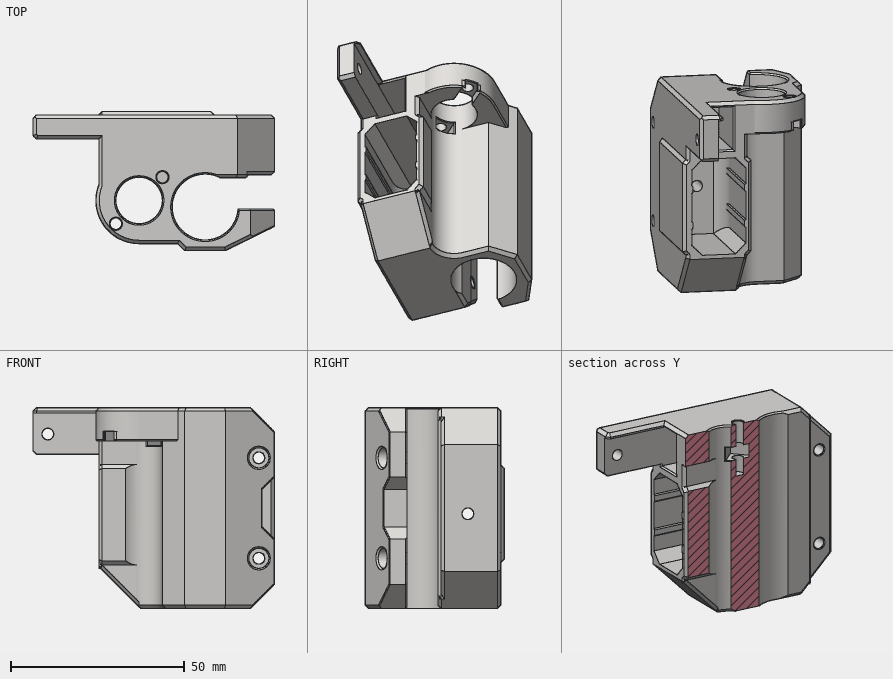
import cadquery as cq
import math

LENGTH = 69.74
DEPTH = 40.2
HEIGHT = 58.0
EDGE = 1.0
SMALL_EDGE = 0.45
FINE_EDGE = 0.25
TOLERANCE = 0.001
CUT_MARGIN = 1.0

BACK_Y = DEPTH - EDGE
BLOCK_LEFT = 19.0
FRONT_WALL_Y = 21.15
FLANGE_BOTTOM = 48.3
LEFT_CUT = 12.1
JAW_CUT = 7.0
BACK_JAW_CUT = 10.7

GUIDE_X = 30.65
GUIDE_Y = 14.5
GUIDE_RADIUS = 13.4 / 2
FLANGE_RADIUS = 12.5
SCREW_CIRCLE_RADIUS = 9.5
SCREW_DIAMETER = 3.3
SCREW_CHAMFER = 0.25
NUT_SLOT_WIDTH = 5.7
NUT_SLOT_REACH = 12.0
NUT_WINDOW_WIDTH = 3.6
NUT_BOTTOM = 47.05
NUT_TOP = 51.05
SCREW_BOTTOM = 42.0

CLAMP_X = 49.7
CLAMP_Y = 12.6
CLAMP_RADIUS = 9.5
FRONT_FLAT_LEFT = 43.8
FRONT_FLAT_RIGHT = 55.55
JAW_TIP_Y = 7.0
SLIT_FRONT_Y = 12.06
SLIT_BACK_Y = 21.0
SLIT_STEP = 0.85
SLIT_STEP_X = 61.4
CLAMP_SCREW_X = 65.2
CLAMP_SCREW_SPACING = 29.0
CLAMP_HEAD_DIAMETER = 5.8
CLAMP_HEAD_DEPTH = 3.0
NOTCH_DEPTH = 3.6
NOTCH_HEIGHT = 18.0

TAB_BOTTOM = 44.5
TAB_FRONT_Y = 32.2
TAB_HOLE_X = 4.3
TAB_HOLE_Z = 50.35
SLOT_FRONT_Y = 25.4
SLOT_BACK_Y = 33.75
SLOT_BOTTOM = 43.9
SLOT_TOP = 56.5
SLOT_END_X = 39.0

POCKET_FRONT_Y = 21.66
POCKET_BACK_Y = 37.63
POCKET_BOTTOM = 13.2
POCKET_TOP = 41.5
POCKET_CORNER = 3.1
POCKET_END_X = 49.5
POCKET_END_RADIUS = 13.0
POCKET_HOLE_DIAMETER = 3.3
RIB_HEIGHT = 0.35
RIB_WIDTH = 2.4
RIB_SPACING = 10.6
PAD_TOP = 40.4
BACK_PAD_BOTTOM = 14.3
BACK_PAD_RIGHT = 51.3
FRONT_PAD_BOTTOM = 13.75
FRONT_PAD_Y = 19.95

POCKET_Y = (POCKET_FRONT_Y + POCKET_BACK_Y) / 2
POCKET_Z = (POCKET_BOTTOM + POCKET_TOP) / 2


def box(x0, x1, y0, y1, z0, z1):
    """Box between two opposite corners."""
    return cq.Workplane("XY").box(x1 - x0, y1 - y0, z1 - z0, centered=False).translate((x0, y0, z0))


def cylinder_z(x, y, radius, z0, z1):
    """Upright cylinder."""
    return cq.Workplane("XY", origin=(x, y, z0)).circle(radius).extrude(z1 - z0)


def cylinder_y(x, z, radius, y0, y1):
    """Cylinder along Y from y0 back to y1."""
    return cq.Workplane("XZ", origin=(x, y0, z)).circle(radius).extrude(y0 - y1)


def chamfer_edges(body, wanted, size):
    """Chamfer every edge for which wanted(edge) is true."""
    return body.newObject([edge for edge in body.edges().vals() if wanted(edge)]).chamfer(size)


def near(value, *targets):
    """True when a coordinate equals one of the targets."""
    return any(abs(value - target) < TOLERANCE for target in targets)


def mouth(x, y, radius, size):
    """Cone that chamfers the top mouth of an upright bore."""
    return (
        cq.Workplane("XY", origin=(x, y, HEIGHT - size))
        .circle(radius)
        .workplane(offset=size)
        .circle(radius + size)
        .loft()
    )


def profile_prism(points, y0, y1):
    """Prism with an XZ outline, running from y0 back to y1."""
    return cq.Workplane("XZ", origin=(0, y0, 0)).polyline(points).close().extrude(y0 - y1)


def finish_right(sketch):
    """Continue an outline from the front flat round the slit to the back right corner of the block."""
    return (
        sketch.lineTo(FRONT_FLAT_LEFT, 0)
        .lineTo(FRONT_FLAT_RIGHT, 0)
        .lineTo(LENGTH, JAW_TIP_Y)
        .lineTo(LENGTH, SLIT_FRONT_Y)
        .lineTo(CLAMP_X, SLIT_FRONT_Y)
        .lineTo(CLAMP_X, SLIT_BACK_Y)
        .lineTo(SLIT_STEP_X, SLIT_BACK_Y)
        .lineTo(SLIT_STEP_X + SLIT_STEP, SLIT_BACK_Y + SLIT_STEP)
        .lineTo(LENGTH, SLIT_BACK_Y + SLIT_STEP)
        .lineTo(LENGTH, BACK_Y)
    )


def tapered_prism(points, y_base, y_tip):
    """Prism with an XZ outline at y_base whose sides close in at 45 degrees towards y_tip."""
    prism = cq.Workplane("XZ", origin=(0, y_base, 0)).polyline(points).close()
    return prism.extrude(y_base - y_tip, taper=45)


def make_bevel(outline, y_face, x0, x1):
    """Tool, from x0 to x1, that bevels the rim of a forward face at y_face with the given XZ outline."""
    y_base = y_face + EDGE
    layer = box(x0, x1, y_face, y_base, 0, HEIGHT)
    return layer.cut(tapered_prism(outline, y_base, y_face))


def make_left_bevel():
    """Bevel on the front wall of the block along its left edge and the corner cut below."""
    below = -2 * EDGE
    outline = [
        (BLOCK_LEFT, LEFT_CUT),
        (BLOCK_LEFT + LEFT_CUT - below, below),
        (LENGTH, below),
        (LENGTH, HEIGHT),
        (BLOCK_LEFT, HEIGHT),
    ]
    return make_bevel(outline, FRONT_WALL_Y, BLOCK_LEFT, GUIDE_X)


def make_back_jaw_bevel():
    """Bevel on both levels of the back jaw's stepped slit face."""
    cut_x = LENGTH - BACK_JAW_CUT
    outline = [
        (GUIDE_X, 0),
        (cut_x, 0),
        (LENGTH, BACK_JAW_CUT),
        (LENGTH, HEIGHT - BACK_JAW_CUT),
        (cut_x, HEIGHT),
        (GUIDE_X, HEIGHT),
    ]
    step_middle = SLIT_STEP_X + SLIT_STEP / 2
    near_bore = make_bevel(outline, SLIT_BACK_Y, CLAMP_X, step_middle)
    near_end = make_bevel(outline, SLIT_BACK_Y + SLIT_STEP, step_middle, LENGTH)
    return near_bore.union(near_end)


def make_pad(y_face, y_base, right, bottom):
    """Pad around the pocket with 45 degree flanks; right, bottom and PAD_TOP bound its face."""
    rise = abs(y_face - y_base)
    left = BLOCK_LEFT - rise
    right += rise
    bottom -= rise
    top = PAD_TOP + rise
    pad = tapered_prism([(left, bottom), (right, bottom), (right, top), (left, top)], y_base, y_face)
    return pad.intersect(box(BLOCK_LEFT, LENGTH, 0, DEPTH, 0, HEIGHT))


def make_lower_block():
    """Block below the flange; a concave wall carries the guide bore down its front."""
    wall_x = GUIDE_X + GUIDE_RADIUS
    meet_x = GUIDE_X - math.sqrt(GUIDE_RADIUS**2 - (FRONT_WALL_Y - GUIDE_Y) ** 2)
    diagonal = GUIDE_RADIUS * math.sqrt(0.5)
    start = (
        cq.Workplane("XY")
        .moveTo(BLOCK_LEFT, BACK_Y)
        .lineTo(BLOCK_LEFT, FRONT_WALL_Y)
        .lineTo(meet_x, FRONT_WALL_Y)
        .threePointArc((GUIDE_X + diagonal, GUIDE_Y + diagonal), (wall_x, GUIDE_Y))
        .lineTo(wall_x, FRONT_FLAT_LEFT - wall_x)
    )
    block = finish_right(start).close().extrude(FLANGE_BOTTOM)
    block = block.cut(corner_cut(BLOCK_LEFT, 0, LEFT_CUT, 0, DEPTH))
    return block.cut(make_left_bevel())


def make_flange():
    """Top flange with the round lug of the guide bore and the full-length tab strip."""
    lug_bottom = GUIDE_Y - FLANGE_RADIUS
    lug_drop = math.sqrt(FLANGE_RADIUS**2 - (GUIDE_X - BLOCK_LEFT) ** 2)
    diagonal = FLANGE_RADIUS * math.sqrt(0.5)
    start = (
        cq.Workplane("XY", origin=(0, 0, FLANGE_BOTTOM))
        .moveTo(0, BACK_Y)
        .lineTo(0, TAB_FRONT_Y)
        .lineTo(BLOCK_LEFT, TAB_FRONT_Y)
        .lineTo(BLOCK_LEFT, GUIDE_Y + lug_drop)
        .threePointArc((GUIDE_X - diagonal, GUIDE_Y - diagonal), (GUIDE_X, lug_bottom))
        .lineTo(FRONT_FLAT_LEFT - lug_bottom, lug_bottom)
    )
    return finish_right(start).close().extrude(HEIGHT - FLANGE_BOTTOM)


def corner_cut(x, z, size, y0, y1):
    """45 degree wedge at the XZ corner (x, z) of the block, signed towards its middle."""
    step_x = math.copysign(size, LENGTH / 2 - x)
    step_z = math.copysign(size, HEIGHT / 2 - z)
    return profile_prism([(x, z), (x + step_x, z), (x, z + step_z)], y0, y1)


def is_rim(edge):
    """True for the outline edges of the top and bottom faces, except on the slit and on corner cuts."""
    span = edge.BoundingBox()
    flat = near(span.zmin, span.zmax) and near(span.zmin, 0, HEIGHT)
    cut_ends = (CLAMP_X, BLOCK_LEFT + LEFT_CUT, LENGTH - JAW_CUT, LENGTH - BACK_JAW_CUT)
    across = near(span.xmin, span.xmax) and near(span.xmin, *cut_ends)
    on_slit = near(span.ymin, SLIT_FRONT_Y, SLIT_BACK_Y)
    on_back = near(span.ymin, BACK_Y - EDGE)
    return flat and not (across or on_slit or on_back)


def is_front_lip_edge(edge):
    """True for the outline edges of the front jaw's slit face."""
    span = edge.BoundingBox()
    on_lip = near(span.ymin, SLIT_FRONT_Y) and near(span.ymax, SLIT_FRONT_Y)
    return on_lip and span.xmax > CLAMP_X + TOLERANCE


def is_tab_end(edge):
    """True for the bottom edge and the front edge of the tab's end."""
    span = edge.BoundingBox()
    at_end = near(span.xmax, 0)
    bottom = near(span.zmax, TAB_BOTTOM)
    front = near(span.ymax, TAB_FRONT_Y)
    return at_end and (bottom or front)


def is_flange_underside(edge):
    """True for the lower outline of the round lug."""
    span = edge.BoundingBox()
    flat = near(span.zmin, FLANGE_BOTTOM) and near(span.zmax, FLANGE_BOTTOM)
    return flat and near(span.ymin, GUIDE_Y - FLANGE_RADIUS) and span.xmin < GUIDE_X + TOLERANCE


def make_body():
    """Block, flange and tab with their corner cuts and edge chamfers."""
    body = make_lower_block().union(make_flange())
    body = body.union(box(0, BLOCK_LEFT, TAB_FRONT_Y, BACK_Y, TAB_BOTTOM, FLANGE_BOTTOM))
    for z in (0, HEIGHT):
        body = body.cut(corner_cut(LENGTH, z, JAW_CUT, 0, SLIT_FRONT_Y))
        body = body.cut(corner_cut(LENGTH, z, BACK_JAW_CUT, SLIT_FRONT_Y, DEPTH))
    body = body.faces(">Y").chamfer(EDGE)
    body = chamfer_edges(body, is_tab_end, EDGE)
    body = chamfer_edges(body, is_rim, EDGE).cut(make_back_jaw_bevel())
    body = chamfer_edges(body, is_front_lip_edge, SMALL_EDGE)
    return chamfer_edges(body, is_flange_underside, SMALL_EDGE)


def make_left_end_bevel(y_wall, y_face, pad_bottom, top):
    """Bevel on the block's left face along a wall and the pad on it, from the corner cut up to top."""
    inward = math.copysign(1, POCKET_Y - y_face)
    rise = abs(y_wall - y_face)
    outline = [
        (y_wall, 0),
        (y_wall, pad_bottom - rise),
        (y_face, pad_bottom),
        (y_face, PAD_TOP),
        (y_wall, PAD_TOP + rise),
        (y_wall, HEIGHT),
        (y_wall + inward * DEPTH, HEIGHT),
        (y_wall + inward * DEPTH, 0),
    ]
    x_base = BLOCK_LEFT + EDGE
    kept = cq.Workplane("YZ", origin=(x_base, 0, 0)).polyline(outline).close().extrude(-EDGE, taper=45)
    y_near, y_far = sorted((y_face, POCKET_Y))
    return box(BLOCK_LEFT, x_base, y_near, y_far, LEFT_CUT, top).cut(kept)


def add_pads(body):
    """Raise the pads on the front wall and the back around the pocket."""
    front_pad = make_pad(FRONT_PAD_Y, FRONT_WALL_Y + EDGE, GUIDE_X, FRONT_PAD_BOTTOM)
    guide = cylinder_z(GUIDE_X, GUIDE_Y, GUIDE_RADIUS, 0, HEIGHT)
    right_of_guide = box(GUIDE_X, LENGTH, 0, FRONT_WALL_Y, 0, HEIGHT)
    back_pad = make_pad(DEPTH, BACK_Y - EDGE, BACK_PAD_RIGHT, BACK_PAD_BOTTOM)
    body = body.union(front_pad.cut(guide).cut(right_of_guide)).union(back_pad)
    body = body.cut(make_left_end_bevel(FRONT_WALL_Y, FRONT_PAD_Y, FRONT_PAD_BOTTOM, FLANGE_BOTTOM))
    return body.cut(make_left_end_bevel(BACK_Y, DEPTH, BACK_PAD_BOTTOM, TAB_BOTTOM))


def make_nut_slots():
    """Slot on the screw diagonal for both square nuts, with a narrow window out through the lug."""
    height = NUT_TOP - NUT_BOTTOM
    slot = cq.Workplane("XY").box(2 * NUT_SLOT_REACH, NUT_SLOT_WIDTH, height)
    window = cq.Workplane("XY").box(FLANGE_RADIUS + CUT_MARGIN, NUT_WINDOW_WIDTH, height)
    slots = slot.union(window.translate((-(FLANGE_RADIUS + CUT_MARGIN) / 2, 0, 0)))
    return slots.rotate((0, 0, 0), (0, 0, 1), 45).translate((GUIDE_X, GUIDE_Y, NUT_BOTTOM + height / 2))


def is_nut_slot_rim(edge):
    """True for the nut slot edges that lie on the guide bore or on the outside of the lug."""
    span = edge.BoundingBox()
    if span.zmin < NUT_BOTTOM - TOLERANCE or span.zmax > NUT_TOP + TOLERANCE:
        return False
    lug_bottom = FLANGE_BOTTOM + SMALL_EDGE
    if near(span.zmax, FLANGE_BOTTOM, lug_bottom):
        return False
    middle = edge.positionAt(0.5)
    end = edge.positionAt(0)
    distances = [math.hypot(point.x - GUIDE_X, point.y - GUIDE_Y) for point in (middle, end)]
    return any(all(near(d, r) for d in distances) for r in (GUIDE_RADIUS, FLANGE_RADIUS))


def cut_guide_bore(body):
    """Guide bore through the flange, with two screw holes and their nut slots on one diagonal."""
    body = body.cut(cylinder_z(GUIDE_X, GUIDE_Y, GUIDE_RADIUS, FLANGE_BOTTOM, HEIGHT))
    body = body.cut(mouth(GUIDE_X, GUIDE_Y, GUIDE_RADIUS, SMALL_EDGE))
    offset = SCREW_CIRCLE_RADIUS * math.sqrt(0.5)
    radius = SCREW_DIAMETER / 2
    for side in (-1, 1):
        x = GUIDE_X + side * offset
        y = GUIDE_Y + side * offset
        body = body.cut(cylinder_z(x, y, radius, SCREW_BOTTOM, HEIGHT))
        body = body.cut(mouth(x, y, radius, SCREW_CHAMFER))
    return chamfer_edges(body.cut(make_nut_slots()), is_nut_slot_rim, FINE_EDGE)


def cut_clamp_bore(body):
    """Clamp bore with chamfered top mouth, open into the slit on its right."""
    body = body.cut(cylinder_z(CLAMP_X, CLAMP_Y, CLAMP_RADIUS, 0, HEIGHT))
    return body.cut(mouth(CLAMP_X, CLAMP_Y, CLAMP_RADIUS, SMALL_EDGE))


def slanted_face_y(x):
    """Y of the front jaw's slanted face at a given x."""
    return JAW_TIP_Y * (x - FRONT_FLAT_RIGHT) / (LENGTH - FRONT_FLAT_RIGHT)


def cut_clamp_screws(body):
    """Two screw holes across both jaws, sunk into the front jaw."""
    radius = CLAMP_HEAD_DIAMETER / 2
    head_seat_y = slanted_face_y(CLAMP_SCREW_X) + CLAMP_HEAD_DEPTH
    for side in (-1, 1):
        z = HEIGHT / 2 + side * CLAMP_SCREW_SPACING / 2
        body = body.cut(cylinder_y(CLAMP_SCREW_X, z, SCREW_DIAMETER / 2, 0, DEPTH))
        body = body.cut(cylinder_y(CLAMP_SCREW_X, z, radius, 0, head_seat_y))
    return body


def cut_notch(body):
    """Trapezoid notch in the end of the front jaw."""
    outer = NOTCH_HEIGHT / 2
    inner = outer - NOTCH_DEPTH
    middle = HEIGHT / 2
    bottom_x = LENGTH - NOTCH_DEPTH
    outline = [
        (LENGTH, middle - outer),
        (LENGTH, middle + outer),
        (bottom_x, middle + inner),
        (bottom_x, middle - inner),
    ]
    return body.cut(profile_prism(outline, 0, SLIT_FRONT_Y))


def on_slanted_face(edge):
    """True for an edge that lies in the slanted front face of the front jaw."""
    points = [edge.positionAt(share) for share in (0, 0.3, 0.7)]
    return all(near(point.y, slanted_face_y(point.x)) for point in points)


def is_screw_head_rim(edge):
    """True for the rim of a screw head recess."""
    return edge.geomType() == "ELLIPSE" and on_slanted_face(edge)


def is_slanted_face_edge(edge):
    """True for the edges of the slanted face at its corner cuts, its end and the notch."""
    span = edge.BoundingBox()
    at_right = near(span.xmax, LENGTH, LENGTH - NOTCH_DEPTH)
    return edge.geomType() == "LINE" and at_right and on_slanted_face(edge)


def is_screw_mouth(edge):
    """True for the mouth of a clamp screw hole in the back jaw's slit face."""
    span = edge.BoundingBox()
    end_face_y = SLIT_BACK_Y + SLIT_STEP
    return edge.geomType() == "CIRCLE" and near(span.ymin, end_face_y) and near(span.ymax, end_face_y)


def chamfer_front_jaw(body):
    """Chamfer the slanted face of the front jaw and the mouths of the clamp screw holes."""
    body = chamfer_edges(body, is_screw_mouth, FINE_EDGE)
    body = chamfer_edges(body, is_screw_head_rim, SMALL_EDGE)
    return chamfer_edges(body, is_slanted_face_edge, FINE_EDGE)


def cut_tab_features(body):
    """Screw hole in the tab, and the slot that runs along the tab into the block."""
    body = body.cut(cylinder_y(TAB_HOLE_X, TAB_HOLE_Z, SCREW_DIAMETER / 2, 0, DEPTH))
    body = body.cut(box(0, SLOT_END_X, SLOT_FRONT_Y, SLOT_BACK_Y, SLOT_BOTTOM, SLOT_TOP))
    width = SLOT_BACK_Y - SLOT_FRONT_Y + 2 * SMALL_EDGE
    height = SLOT_TOP - SLOT_BOTTOM + 2 * SMALL_EDGE
    middle_y = (SLOT_FRONT_Y + SLOT_BACK_Y) / 2
    middle_z = (SLOT_BOTTOM + SLOT_TOP) / 2
    flare = cq.Workplane("YZ", origin=(BLOCK_LEFT, middle_y, middle_z)).rect(width, height)
    behind_tab = box(0, LENGTH, SLOT_BACK_Y, BACK_Y, TAB_BOTTOM, HEIGHT)
    return body.cut(flare.extrude(SMALL_EDGE, taper=45).cut(behind_tab))


def make_pocket_plan():
    """Pocket seen along Z: parallel walls that curve in to a flat end, full pocket height."""
    curve_angle = math.acos(1 - POCKET_CORNER / POCKET_END_RADIUS)
    half_angle = curve_angle / 2
    curve_start = POCKET_END_X - POCKET_END_RADIUS * math.sin(curve_angle)
    middle_x = curve_start + POCKET_END_RADIUS * math.sin(half_angle)
    middle_inset = POCKET_END_RADIUS * (1 - math.cos(half_angle))
    front = POCKET_FRONT_Y
    back = POCKET_BACK_Y
    return (
        cq.Workplane("XY", origin=(0, 0, POCKET_BOTTOM))
        .moveTo(BLOCK_LEFT, front)
        .lineTo(curve_start, front)
        .threePointArc((middle_x, front + middle_inset), (POCKET_END_X, front + POCKET_CORNER))
        .lineTo(POCKET_END_X, back - POCKET_CORNER)
        .threePointArc((middle_x, back - middle_inset), (curve_start, back))
        .lineTo(BLOCK_LEFT, back)
        .close()
        .extrude(POCKET_TOP - POCKET_BOTTOM)
    )


def make_pocket():
    """Octagonal pocket, less the two grip ribs on each side wall."""
    length = POCKET_END_X - BLOCK_LEFT
    section = (
        cq.Workplane("YZ", origin=(BLOCK_LEFT, POCKET_Y, POCKET_Z))
        .rect(POCKET_BACK_Y - POCKET_FRONT_Y, POCKET_TOP - POCKET_BOTTOM)
        .extrude(length)
        .edges("|X")
        .chamfer(POCKET_CORNER)
    )
    pocket = section.intersect(make_pocket_plan())
    for wall_y, inward in ((POCKET_FRONT_Y, 1), (POCKET_BACK_Y, -1)):
        for side in (-1, 1):
            z = POCKET_Z + side * RIB_SPACING / 2
            pocket = pocket.cut(make_rib(wall_y, inward * RIB_HEIGHT, z))
    return pocket


def make_rib(wall_y, rise, z):
    """Rib along X with 45 degree flanks, rising from the wall at wall_y."""
    half = RIB_WIDTH / 2
    crest = half - RIB_HEIGHT
    outline = [
        (wall_y, z - half),
        (wall_y + rise, z - crest),
        (wall_y + rise, z + crest),
        (wall_y, z + half),
    ]
    start = cq.Workplane("YZ", origin=(BLOCK_LEFT, 0, 0))
    return start.polyline(outline).close().extrude(POCKET_END_X - BLOCK_LEFT)


def cut_pocket(body):
    """Pocket and the hole from its end out through the right side."""
    hole = cq.Workplane("YZ", origin=(BLOCK_LEFT, POCKET_Y, POCKET_Z)).circle(POCKET_HOLE_DIAMETER / 2)
    return body.cut(make_pocket()).cut(hole.extrude(LENGTH - BLOCK_LEFT))


result = make_body()
result = add_pads(result)
result = cut_guide_bore(result)
result = cut_clamp_bore(result)
result = cut_clamp_screws(result)
result = cut_notch(result)
result = chamfer_front_jaw(result)
result = cut_tab_features(result)
result = cut_pocket(result)